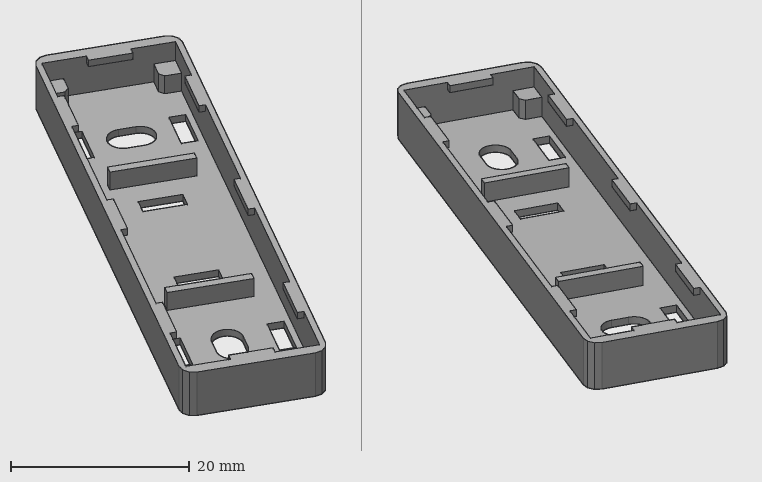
import cadquery as cq
import math

length = 63.0
width = 17.0
height = 6.0
corner_radius = 1.65
corner_flats = 3
end_wall = 1.4
side_wall = 0.75
floor = 0.95
cavity_length = length - 2 * end_wall
cavity_width = width - 2 * side_wall

tab_thickness = 0.9
side_tab_length = 5.9
side_tab_reach = 0.75
end_tab_length = 5.15
end_tab_reach = 0.8

mount_x = 20.55
opening_length = 5.15
opening_width = 1.95
slot_x = 7.5
oval_length = 5.7
oval_width = 3.65

rib_x = 12.0
rib_thickness = 1.0
rib_length = 10.1
rib_height = 2.45
post_size = 2.5
post_height = 2.45
post_chamfer = 0.55


def block(size_x, size_y, size_z, x, y, base_z):
    """Box centred at (x, y) that stands on base_z."""
    box = cq.Workplane("XY").box(size_x, size_y, size_z, centered=(True, True, False))
    return box.translate((x, y, base_z))


def outer_outline():
    """Rectangle whose corners follow a quarter circle in equal flats."""
    center_x = length / 2 - corner_radius
    center_y = width / 2 - corner_radius
    points = []
    for quarter, (sign_x, sign_y) in enumerate(((1, 1), (-1, 1), (-1, -1), (1, -1))):
        for step in range(corner_flats + 1):
            angle = math.pi / 2 * (quarter + step / corner_flats)
            x = sign_x * center_x + corner_radius * math.cos(angle)
            y = sign_y * center_y + corner_radius * math.sin(angle)
            points.append((x, y))
    return points


def make_shell():
    outer = cq.Workplane("XY").polyline(outer_outline()).close().extrude(height)
    return outer.cut(block(cavity_length, cavity_width, height, 0, 0, floor))


def make_tabs():
    base_z = height - tab_thickness
    side_y = (cavity_width - side_tab_reach) / 2
    end_x = (cavity_length - end_tab_reach) / 2
    tabs = cq.Workplane("XY")
    for side in (-1, 1):
        for x in (-mount_x, 0, mount_x):
            tabs = tabs.add(block(side_tab_length, side_tab_reach, tab_thickness, x, side * side_y, base_z))
        tabs = tabs.add(block(end_tab_reach, end_tab_length, tab_thickness, side * end_x, 0, base_z))
    return tabs.combine()


def make_ribs():
    rib = block(rib_thickness, rib_length, rib_height, rib_x, 0, floor)
    return rib.union(rib.mirror("YZ"))


def make_posts():
    """Corner posts, each with its free vertical edge chamfered."""
    x = (cavity_length - post_size) / 2
    y = (cavity_width - post_size) / 2
    post = block(post_size, post_size, post_height, x, y, floor)
    post = post.edges("|Z").edges("<X and <Y").chamfer(post_chamfer)
    pair = post.union(post.mirror("YZ"))
    return pair.union(pair.mirror("XZ"))


def make_floor_openings():
    """Windows beside the outer side tabs, cross slots, and two oval screw holes set at right angles."""
    window_y = (cavity_width - opening_width) / 2 - side_tab_reach
    openings = cq.Workplane("XY")
    for side in (-1, 1):
        for y in (-window_y, window_y):
            openings = openings.add(block(opening_length, opening_width, floor, side * mount_x, y, 0))
        openings = openings.add(block(opening_width, opening_length, floor, side * slot_x, 0, 0))
    for x, angle in ((-mount_x, 90), (mount_x, 0)):
        oval = cq.Workplane("XY").center(x, 0).slot2D(oval_length, oval_width, angle).extrude(floor)
        openings = openings.add(oval)
    return openings.combine()


result = (
    make_shell()
    .union(make_tabs())
    .union(make_ribs())
    .union(make_posts())
    .cut(make_floor_openings())
)